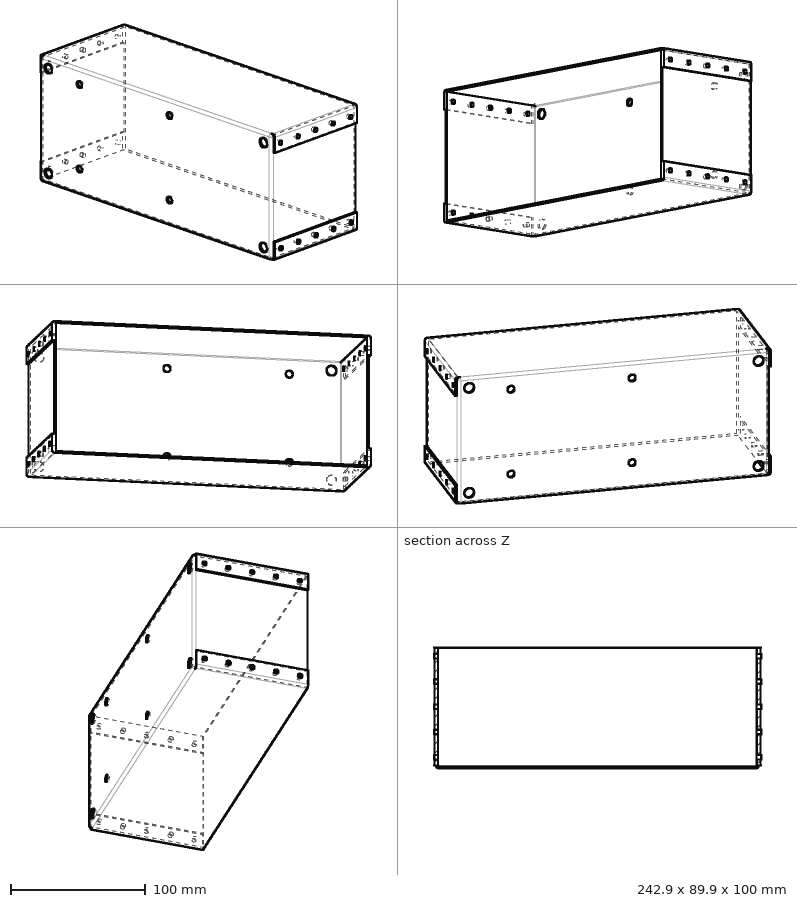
import cadquery as cq

length = 242.9
depth = 89.9
height = 100.0

sheet = 1.5
bend_radius = 2.25
inner_bend_radius = bend_radius - sheet

flange_height = 14.5
row_inset = 8.3
flange_hole_diameter = 3.2
flange_hole_pitch = 18.7
flange_hole_count = 5
first_hole_from_back = 6.5

collar_diameter = 3.5
collar_height = 0.5

corner_hole_diameter = 7.5
corner_hole_pitch_x = 222.2
corner_hole_pitch_z = 83.0
mount_hole_diameter = 5.3
mount_hole_pitch_x = 93.0
mount_hole_pitch_z = 67.0
mount_holes_center_x = -32.5
mount_holes_center_z = 4.0

left = -length / 2
right = length / 2 - collar_height
center_x = (left + right) / 2
flanged_length = right - left
wall_length = flanged_length - 2 * sheet
front = -depth / 2
back = depth / 2
row_z = height / 2 - row_inset
hole_rows = [
    (back - first_hole_from_back - i * flange_hole_pitch, side * row_z)
    for side in (-1, 1)
    for i in range(flange_hole_count)
]


def block(size_x, y_start, y_end, size_z):
    """Box centred on the sheet-metal body in X and Z."""
    return cq.Workplane("XY").box(size_x, y_end - y_start, size_z).translate(
        (center_x, (y_start + y_end) / 2, 0)
    )


def tray():
    """Front panel with four walls bent back from it; its front corners are rounded to balls."""
    outside = block(wall_length, front, back, height)
    outside = outside.edges("not >Y").fillet(bend_radius)
    inside = block(wall_length - 2 * sheet, front + sheet, back, height - 2 * sheet)
    inside = inside.faces("<Y").edges().fillet(inner_bend_radius)
    return outside.cut(inside)


def lapped_flanges():
    """Top and bottom sheets bent over the outside of both end walls."""
    flange_front = front + bend_radius
    outside = block(flanged_length, flange_front, back, height).edges("|Y").fillet(bend_radius)
    inside = block(wall_length, flange_front, back, height - 2 * sheet)
    inside = inside.edges("|Y").fillet(inner_bend_radius)
    between = block(flanged_length, flange_front, back, height - 2 * flange_height)
    return outside.cut(inside).cut(between)


def collars():
    """Short round collars on the lower row of the +X flange."""
    lower_row = [(y, z) for y, z in hole_rows if z < 0]
    return (
        cq.Workplane("YZ", origin=(right - sheet, 0, 0))
        .pushPoints(lower_row)
        .circle(collar_diameter / 2)
        .extrude(sheet + collar_height)
    )


def flange_holes():
    """Drills running through both ends of the box."""
    return (
        cq.Workplane("YZ", origin=(left, 0, 0))
        .pushPoints(hole_rows)
        .circle(flange_hole_diameter / 2)
        .extrude(length)
    )


def front_holes(middle_x, middle_z, pitch_x, pitch_z, diameter):
    """Four drills through the front panel on a rectangle."""
    return (
        cq.Workplane("XZ", origin=(middle_x, front + sheet, middle_z))
        .rect(pitch_x, pitch_z, forConstruction=True)
        .vertices()
        .circle(diameter / 2)
        .extrude(sheet)
    )


corner_holes = front_holes(0, 0, corner_hole_pitch_x, corner_hole_pitch_z, corner_hole_diameter)
mount_holes = front_holes(
    mount_holes_center_x, mount_holes_center_z, mount_hole_pitch_x, mount_hole_pitch_z, mount_hole_diameter
)

result = tray().union(lapped_flanges()).union(collars())
result = result.cut(flange_holes()).cut(corner_holes).cut(mount_holes)